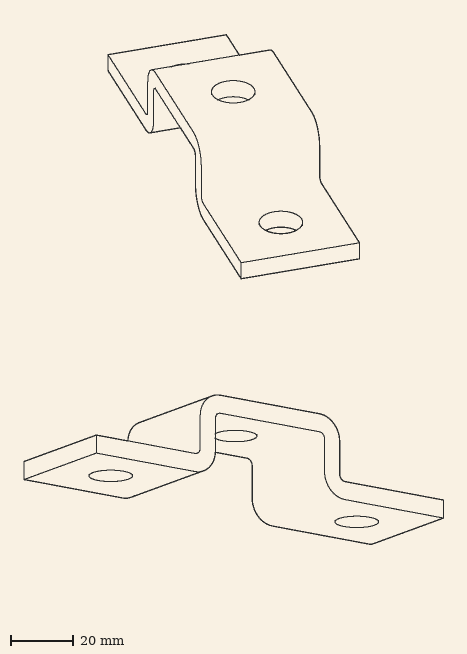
import cadquery as cq

length = 137.0
width = 40.0
height = 27.0
thickness = 6.0

hat_width = 55.1
inner_bend_radius = 2.0
outer_bend_radius = inner_bend_radius + thickness

hole_diameter = 14.0
end_hole_inset = 20.0
middle_hole_offset = -0.5


def bent_strap():
    """Constant-thickness hat profile, extruded across the width and rounded at its bends."""
    end = length / 2
    hat_outer = hat_width / 2
    hat_inner = hat_outer - thickness
    underside = height - thickness
    outline = [
        (-end, 0),
        (-hat_inner, 0),
        (-hat_inner, underside),
        (hat_inner, underside),
        (hat_inner, 0),
        (end, 0),
        (end, thickness),
        (hat_outer, thickness),
        (hat_outer, height),
        (-hat_outer, height),
        (-hat_outer, thickness),
        (-end, thickness),
    ]
    strap = cq.Workplane("XZ").polyline(outline).close().extrude(width / 2, both=True)

    def bend_edges(x, z):
        """Selector for the left and right bend edges at +/-x and height z."""
        margin = thickness / 4
        return [
            cq.selectors.BoxSelector(
                (side * x - margin, -width, z - margin),
                (side * x + margin, width, z + margin),
            )
            for side in (-1, 1)
        ]

    bends = [
        (hat_inner, 0, outer_bend_radius),
        (hat_inner, underside, inner_bend_radius),
        (hat_outer, thickness, inner_bend_radius),
        (hat_outer, height, outer_bend_radius),
    ]
    for x, z, radius in bends:
        left, right = bend_edges(x, z)
        strap = strap.edges("|Y").edges(left + right).fillet(radius)
    return strap


def hole_cutters():
    """Vertical cylinders through both feet and the raised middle."""
    end_hole_x = length / 2 - end_hole_inset
    centres = [(-end_hole_x, 0), (middle_hole_offset, 0), (end_hole_x, 0)]
    return cq.Workplane("XY").pushPoints(centres).circle(hole_diameter / 2).extrude(height)


result = bent_strap().cut(hole_cutters())